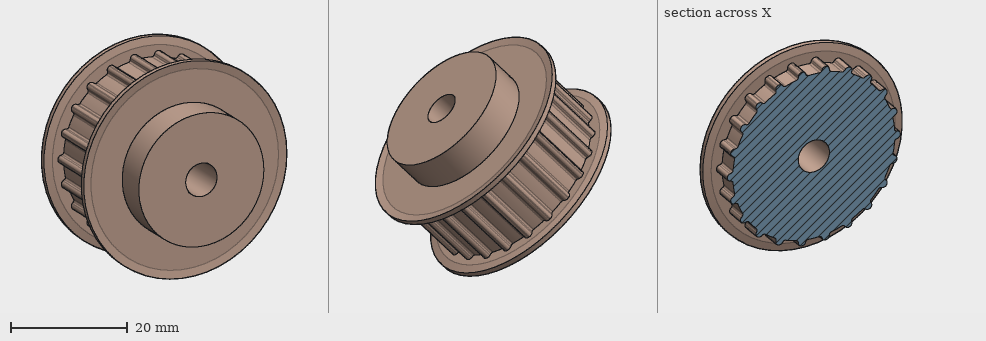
import cadquery as cq
import math


total_length = 22.0
toothed_end = 16.0
flange_thickness = 1.0
flange_dish = 0.25

bore_radius = 3.0
hub_radius = 12.0
flange_radius = 19.5
flange_bend_radius = 18.0

tooth_count = 22
pitch_angle = 360 / tooth_count
root_radius = 15.87
tip_radius = 16.93
groove_angle = 50.0
tip_land_half_width = 0.06
tip_round = 0.68
root_fillet = 0.4

tooth_start = flange_dish + flange_thickness
tooth_length = toothed_end - 2 * tooth_start


def cylinder(radius, start, length):
    return cq.Workplane("YZ", origin=(start, 0, 0)).circle(radius).extrude(length)


def flange(rim_face, inward):
    """Dished disc with its outer rim edge at rim_face; inward is the sign of X towards the teeth."""
    web_face = rim_face + inward * flange_dish
    profile = [
        (web_face, 0),
        (web_face, flange_bend_radius),
        (rim_face, flange_radius),
        (rim_face + inward * flange_thickness, flange_radius),
        (web_face + inward * flange_thickness, flange_bend_radius),
        (web_face + inward * flange_thickness, 0),
    ]
    return cq.Workplane("XY").polyline(profile).close().revolve(360, (0, 0, 0), (1, 0, 0))


def belt_tooth():
    """One tooth pointing along +Y, rounded at the tip and filleted into the root circle."""
    flank_angle = math.radians(groove_angle / 2 - pitch_angle / 2)
    normal_y = math.sin(flank_angle)
    normal_z = math.cos(flank_angle)

    round_y = tip_radius - tip_round
    flank_top_y = round_y + tip_round * normal_y
    flank_top_z = tip_land_half_width + tip_round * normal_z
    round_mid_angle = (math.pi / 2 + flank_angle) / 2
    round_mid_y = round_y + tip_round * math.sin(round_mid_angle)
    round_mid_z = tip_land_half_width + tip_round * math.cos(round_mid_angle)

    center_radius = root_radius + root_fillet
    flank_offset = flank_top_y * normal_y + flank_top_z * normal_z
    center_across = flank_offset + root_fillet
    center_along = math.sqrt(center_radius**2 - center_across**2)
    center_y = center_along * normal_z + center_across * normal_y
    center_z = center_across * normal_z - center_along * normal_y
    flank_base_y = center_y - root_fillet * normal_y
    flank_base_z = center_z - root_fillet * normal_z
    root_y = center_y * root_radius / center_radius
    root_z = center_z * root_radius / center_radius
    fillet_mid_angle = (flank_angle + math.atan2(center_y, center_z)) / 2
    fillet_mid_y = center_y - root_fillet * math.sin(fillet_mid_angle)
    fillet_mid_z = center_z - root_fillet * math.cos(fillet_mid_angle)

    return (
        cq.Workplane("YZ", origin=(tooth_start, 0, 0))
        .moveTo(hub_radius, -root_z)
        .lineTo(root_y, -root_z)
        .threePointArc((fillet_mid_y, -fillet_mid_z), (flank_base_y, -flank_base_z))
        .lineTo(flank_top_y, -flank_top_z)
        .threePointArc((round_mid_y, -round_mid_z), (tip_radius, -tip_land_half_width))
        .lineTo(tip_radius, tip_land_half_width)
        .threePointArc((round_mid_y, round_mid_z), (flank_top_y, flank_top_z))
        .lineTo(flank_base_y, flank_base_z)
        .threePointArc((fillet_mid_y, fillet_mid_z), (root_y, root_z))
        .lineTo(hub_radius, root_z)
        .close()
        .extrude(tooth_length)
    )


def toothed_rim():
    rim = cylinder(root_radius, tooth_start, tooth_length)
    tooth = belt_tooth()
    for index in range(tooth_count):
        rim = rim.union(tooth.rotate((0, 0, 0), (1, 0, 0), index * pitch_angle))
    return rim


hub = cylinder(hub_radius, 0, total_length)
bore = cylinder(bore_radius, 0, total_length)

result = (
    toothed_rim()
    .union(flange(0, 1))
    .union(flange(toothed_end, -1))
    .union(hub)
    .cut(bore)
)